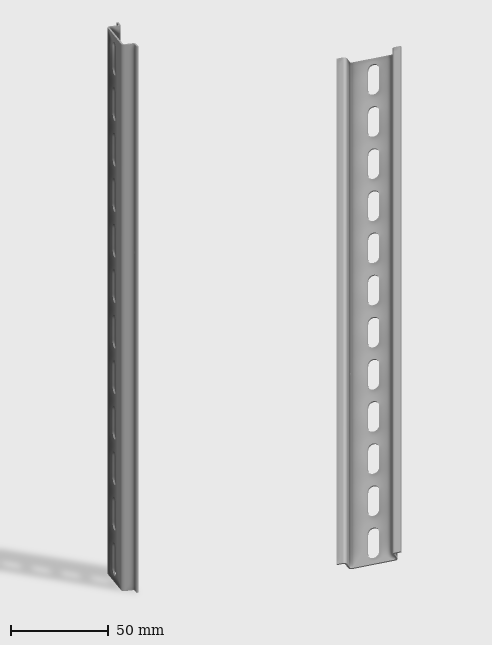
import cadquery as cq

length = 300.0
rail_width = 35.0
rail_depth = 7.5

sheet = 1.0
channel_width = 27.0
inner_bend_radius = 0.8
outer_bend_radius = inner_bend_radius + sheet

slot_count = 12
slot_length = 18.0
slot_width = 6.3
slot_pitch = length / slot_count


def plate(x_min, x_max, y_min, y_max):
    """Full-length rectangular bar between the given X and Y limits."""
    return cq.Workplane("XY").box(
        x_max - x_min, y_max - y_min, length, centered=False
    ).translate((x_min, y_min, -length / 2))


def make_rail():
    """Floor, two walls and two outward flanges, with rounded bends."""
    half_rail = rail_width / 2
    half_channel = channel_width / 2
    half_cavity = half_channel - sheet
    flange_front = rail_depth - sheet

    rail = plate(-half_channel, half_channel, 0, sheet)
    for wall_x, flange_x in (
        (-half_channel, -half_rail),
        (half_cavity, half_cavity),
    ):
        flange_length = half_rail - half_cavity
        rail = rail.union(plate(wall_x, wall_x + sheet, 0, rail_depth))
        rail = rail.union(plate(flange_x, flange_x + flange_length, flange_front, rail_depth))

    bends = (
        (half_channel, 0, outer_bend_radius),
        (half_cavity, sheet, inner_bend_radius),
        (half_channel, flange_front, inner_bend_radius),
        (half_cavity, rail_depth, outer_bend_radius),
    )
    for half_spacing, y, radius in bends:
        for x in (-half_spacing, half_spacing):
            bend_edge = cq.selectors.NearestToPointSelector((x, y, 0))
            rail = rail.edges("|Z").edges(bend_edge).fillet(radius)
    return rail


def make_slots():
    """Round-ended cutters, evenly spaced along the rail."""
    return (
        cq.Workplane("XZ")
        .rarray(slot_pitch, slot_pitch, 1, slot_count)
        .slot2D(slot_length, slot_width, angle=90)
        .extrude(rail_depth, both=True)
    )


result = make_rail().cut(make_slots())